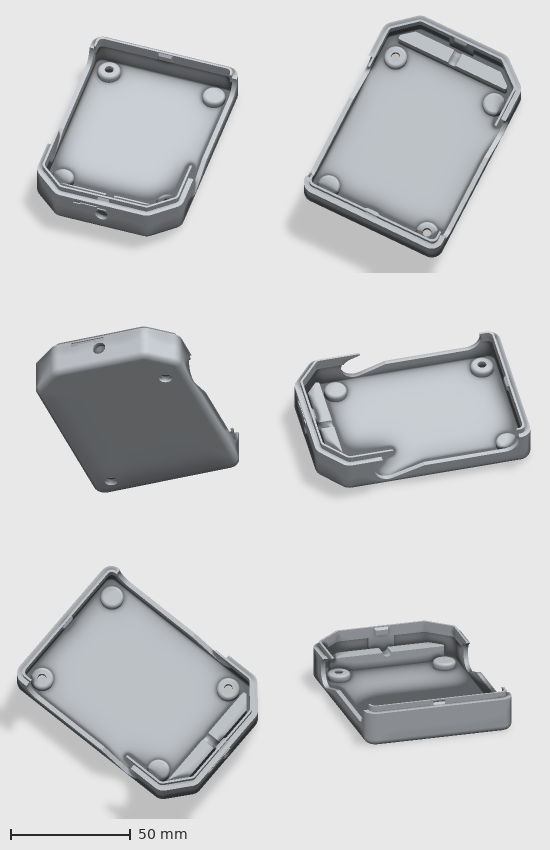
import cadquery as cq
import math

WIDTH = 64.0
LENGTH = 90.0
HEIGHT = 16.9
CORNER_RADIUS = 5.0
FRONT_CHAMFER_X = 12.0
FRONT_CHAMFER_Y = 10.3
BOTTOM_FILLET = 2.5

WALL = 2.0
FLOOR = 2.0
FLOOR_FILLET = 0.5
SHOULDER_Z = 14.5
RIM_SIDE_INSET = 2.2
RIM_END_INSET = 2.4
RIM_THICKNESS = 0.9
RIM_INNER_RADIUS = 2.25
RIM_SKIRT_Z = 12.2

BOSS_DIAMETER = 9.6
BOSS_TOP_DIAMETER = 7.2
BOSS_HEIGHT = 3.0
BOSS_X = 22.95
BOSS_BACK_Y = 36.3
BOSS_FRONT_Y = -26.55
BOSS_HOLE_DIAMETER = 3.7
COUNTERBORE_DIAMETER = 5.5
COUNTERBORE_DEPTH = 3.0

SILL_Z = 7.5
HOOK_RADIUS = 6.0
HOOK_Z = 9.1
BACK_ARC_RADIUS = 6.0
TIP_RADIUS = 0.45

HOLDER_BACK_Y = -33.0
HOLDER_FRONT_Y = -39.1
HOLDER_HALF_WIDTH = 25.0
HOLDER_FRONT_HALF_WIDTH = 19.8
HOLDER_END_DEPTH = 1.7
HOLDER_CORNER_RADIUS = 0.7
LIGHT_Z = HEIGHT / 2
TROUGH_DIAMETER = 3.7
WINDOW_DIAMETER = 5.5
WINDOW_DEPTH = 2.3

POINTER_DEPTH = 0.45
POINTER_LEFT_X = -12.4
POINTER_RIGHT_X = 2.0
POINTER_TOP_Z = 13.8
POINTER_BAR = 1.3
POINTER_LEFT_LEG = (3.0, 1.8)
POINTER_RIGHT_LEG = (3.9, 2.2)

CATCH_WIDTH = 6.4
CATCH_FACE_WIDTH = 5.2
CATCH_DEPTH = 1.0
CATCH_TOP_Z = 16.6
CATCH_BOTTOM_Z = 13.4
GROOVE_WIDTH = 5.2
GROOVE_Z = 15.4


def outline_prism(side_inset, end_inset, corner_radius, bottom_z, top_z):
    """Prism over the body outline, moved inward, with all six upright corners rounded."""
    half_width = WIDTH / 2 - side_inset
    half_length = LENGTH / 2 - end_inset
    rise = FRONT_CHAMFER_Y / FRONT_CHAMFER_X
    cut = FRONT_CHAMFER_Y + end_inset * (math.hypot(1, rise) - 1) - side_inset * rise
    front_half_width = half_width - cut / rise
    chamfer_y = -half_length + cut
    points = [
        (-half_width, half_length),
        (half_width, half_length),
        (half_width, chamfer_y),
        (front_half_width, -half_length),
        (-front_half_width, -half_length),
        (-half_width, chamfer_y),
    ]
    prism = cq.Workplane("XY").workplane(offset=bottom_z).polyline(points).close().extrude(top_z - bottom_z)
    return prism.edges("|Z").fillet(corner_radius)


def shell():
    body = outline_prism(0, 0, CORNER_RADIUS, 0, SHOULDER_Z).faces("<Z").edges().fillet(BOTTOM_FILLET)
    rim_radius = CORNER_RADIUS - RIM_END_INSET
    rim = outline_prism(RIM_SIDE_INSET, RIM_END_INSET, rim_radius, RIM_SKIRT_Z, HEIGHT)
    cavity = outline_prism(WALL, WALL, CORNER_RADIUS - WALL, FLOOR, RIM_SKIRT_Z)
    cavity = cavity.faces("<Z").edges().fillet(FLOOR_FILLET)
    mouth = outline_prism(
        RIM_SIDE_INSET + RIM_THICKNESS,
        RIM_END_INSET + RIM_THICKNESS,
        RIM_INNER_RADIUS,
        RIM_SKIRT_Z,
        HEIGHT,
    )
    return body.union(rim).cut(cavity).cut(mouth)


def side_opening(side, slope, hook_y, back_arc_y):
    """Opening through one side wall: round hook in front, straight sill, round back end.

    side is -1 or 1 for the wall on that side of X. The hook is a slot end whose two
    straight edges are parallel: the upper one rises to the rim top and the
    lower one rises to the sill, both at slope degrees toward +Y.
    """
    angle = math.radians(slope)
    tangent_y = HOOK_RADIUS * math.sin(angle)
    tangent_z = HOOK_RADIUS * math.cos(angle)
    upper = (hook_y - tangent_y, HOOK_Z + tangent_z)
    lower = (hook_y + tangent_y, HOOK_Z - tangent_z)
    hook_end = (hook_y - HOOK_RADIUS * math.cos(angle), HOOK_Z - HOOK_RADIUS * math.sin(angle))
    tip_y = upper[0] + (HEIGHT - upper[1]) / math.tan(angle)
    sill_front_y = lower[0] + (SILL_Z - lower[1]) / math.tan(angle)

    tip_reach = TIP_RADIUS / math.tan(angle / 2)
    tip_top = (tip_y - tip_reach, HEIGHT)
    tip_bottom = (tip_y - tip_reach * math.cos(angle), HEIGHT - tip_reach * math.sin(angle))
    tip_mid = (
        tip_top[0] + TIP_RADIUS * math.cos(angle / 2),
        HEIGHT - TIP_RADIUS + TIP_RADIUS * math.sin(angle / 2),
    )

    back_z = SILL_Z + BACK_ARC_RADIUS
    lift = HEIGHT - TIP_RADIUS - back_z
    centre_gap = BACK_ARC_RADIUS + TIP_RADIUS
    back_tip_y = back_arc_y + math.sqrt(centre_gap**2 - lift**2)
    back_touch = (
        back_arc_y + (back_tip_y - back_arc_y) * BACK_ARC_RADIUS / centre_gap,
        back_z + lift * BACK_ARC_RADIUS / centre_gap,
    )
    tip_diagonal = TIP_RADIUS * math.sqrt(0.5)
    back_tip_mid = (back_tip_y - tip_diagonal, HEIGHT - TIP_RADIUS + tip_diagonal)
    arc_diagonal = BACK_ARC_RADIUS * math.sqrt(0.5)

    profile = (
        cq.Workplane("YZ", origin=(side * WIDTH / 4, 0, 0))
        .moveTo(*tip_top)
        .threePointArc(tip_mid, tip_bottom)
        .lineTo(*upper)
        .threePointArc(hook_end, lower)
        .lineTo(sill_front_y, SILL_Z)
        .lineTo(back_arc_y, SILL_Z)
        .threePointArc((back_arc_y + arc_diagonal, back_z - arc_diagonal), back_touch)
        .threePointArc(back_tip_mid, (back_tip_y, HEIGHT))
        .close()
    )
    return profile.extrude(side * WIDTH / 4)


def boss(x, y):
    fillet = (BOSS_DIAMETER - BOSS_TOP_DIAMETER) / 2
    pillar = cq.Workplane("XY").circle(BOSS_DIAMETER / 2).extrude(FLOOR + BOSS_HEIGHT)
    pillar = pillar.faces(">Z").edges().fillet(fillet)
    return pillar.translate((x, y, 0)).cut(cq.Workplane("XY").box(WIDTH * 2, LENGTH * 2, FLOOR))


def screw_hole(x, y):
    """Through hole with a counterbore from the underside."""
    hole = cq.Workplane("XY").center(x, y).circle(BOSS_HOLE_DIAMETER / 2).extrude(HEIGHT)
    counterbore = cq.Workplane("XY").center(x, y).circle(COUNTERBORE_DIAMETER / 2).extrude(COUNTERBORE_DEPTH)
    return hole.union(counterbore)


def light_holder():
    """Block on the floor with a half-round trough along Y."""
    end_y = HOLDER_BACK_Y - HOLDER_END_DEPTH
    points = [
        (-HOLDER_HALF_WIDTH, HOLDER_BACK_Y),
        (HOLDER_HALF_WIDTH, HOLDER_BACK_Y),
        (HOLDER_HALF_WIDTH, end_y),
        (HOLDER_FRONT_HALF_WIDTH, HOLDER_FRONT_Y),
        (-HOLDER_FRONT_HALF_WIDTH, HOLDER_FRONT_Y),
        (-HOLDER_HALF_WIDTH, end_y),
    ]
    base_z = FLOOR / 2
    block = cq.Workplane("XY").workplane(offset=base_z).polyline(points).close().extrude(LIGHT_Z - base_z)
    block = block.edges("|Z and (<X or >X)").fillet(HOLDER_CORNER_RADIUS)
    trough = cq.Workplane("XZ").center(0, LIGHT_Z).circle(TROUGH_DIAMETER / 2).extrude(LENGTH / 2)
    return block.cut(trough)


def window_backing():
    """Thicker stretch of the front wall, flush with the rim, that closes the window behind."""
    back_y = -LENGTH / 2 + RIM_END_INSET + RIM_THICKNESS
    front_y = -LENGTH / 2 + WALL / 2
    pad = cq.Workplane("XY").box(
        2 * WINDOW_DIAMETER, back_y - front_y, RIM_SKIRT_Z - FLOOR / 2, centered=(True, False, False)
    )
    return pad.translate((0, front_y, FLOOR / 2))


def window():
    plane = cq.Workplane("XZ", origin=(0, -LENGTH / 2, LIGHT_Z))
    return plane.circle(WINDOW_DIAMETER / 2).extrude(-WINDOW_DEPTH)


def pointer():
    bar_z = POINTER_TOP_Z - POINTER_BAR
    left_width, left_drop = POINTER_LEFT_LEG
    right_width, right_drop = POINTER_RIGHT_LEG
    points = [
        (POINTER_LEFT_X, POINTER_TOP_Z),
        (POINTER_RIGHT_X, POINTER_TOP_Z),
        (POINTER_RIGHT_X, POINTER_TOP_Z - right_drop),
        (POINTER_RIGHT_X - right_width, POINTER_TOP_Z - right_drop),
        (POINTER_RIGHT_X - right_width, bar_z),
        (POINTER_LEFT_X + left_width, bar_z),
        (POINTER_LEFT_X + left_width, POINTER_TOP_Z - left_drop),
        (POINTER_LEFT_X, POINTER_TOP_Z - left_drop),
    ]
    plane = cq.Workplane("XZ", origin=(0, -LENGTH / 2, 0))
    return plane.polyline(points).close().extrude(-POINTER_DEPTH)


def catch():
    """Catch on the inner face of the back rim, tapered at its ends and sloped on top."""
    rim_y = LENGTH / 2 - RIM_END_INSET - RIM_THICKNESS
    root_y = rim_y + RIM_THICKNESS / 2
    face_y = rim_y - CATCH_DEPTH
    plan = [
        (-CATCH_WIDTH / 2, root_y),
        (-CATCH_WIDTH / 2, rim_y),
        (-CATCH_FACE_WIDTH / 2, face_y),
        (CATCH_FACE_WIDTH / 2, face_y),
        (CATCH_WIDTH / 2, rim_y),
        (CATCH_WIDTH / 2, root_y),
    ]
    section = [
        (root_y, CATCH_BOTTOM_Z),
        (face_y, CATCH_BOTTOM_Z),
        (face_y, CATCH_TOP_Z - CATCH_DEPTH),
        (rim_y, CATCH_TOP_Z),
        (root_y, CATCH_TOP_Z),
    ]
    block = cq.Workplane("XY").polyline(plan).close().extrude(HEIGHT)
    return block.intersect(cq.Workplane("YZ").polyline(section).close().extrude(CATCH_WIDTH / 2, both=True))


def catch_groove():
    """Right-angled V groove in the outer face of the back rim, stopping at the shoulder."""
    outer_y = LENGTH / 2 - RIM_END_INSET
    apex_y = outer_y - CATCH_DEPTH
    section = [
        (outer_y, GROOVE_Z + CATCH_DEPTH),
        (apex_y, GROOVE_Z),
        (apex_y + GROOVE_Z - SHOULDER_Z, SHOULDER_Z),
        (outer_y, SHOULDER_Z),
    ]
    return cq.Workplane("YZ").polyline(section).close().extrude(GROOVE_WIDTH / 2, both=True)


result = shell()

openings = [
    side_opening(-1, slope=20, hook_y=-16.4, back_arc_y=31.4),
    side_opening(1, slope=17, hook_y=-16.65, back_arc_y=33.3),
]
for opening in openings:
    result = result.cut(opening)

for x in (-BOSS_X, BOSS_X):
    for y in (BOSS_FRONT_Y, BOSS_BACK_Y):
        result = result.union(boss(x, y))

for x, y in ((-BOSS_X, BOSS_BACK_Y), (BOSS_X, BOSS_FRONT_Y)):
    result = result.cut(screw_hole(x, y))

result = result.union(light_holder()).union(window_backing()).cut(window()).cut(pointer())

result = result.union(catch()).union(catch().mirror("XZ"))
result = result.cut(catch_groove()).cut(catch_groove().mirror("XZ"))